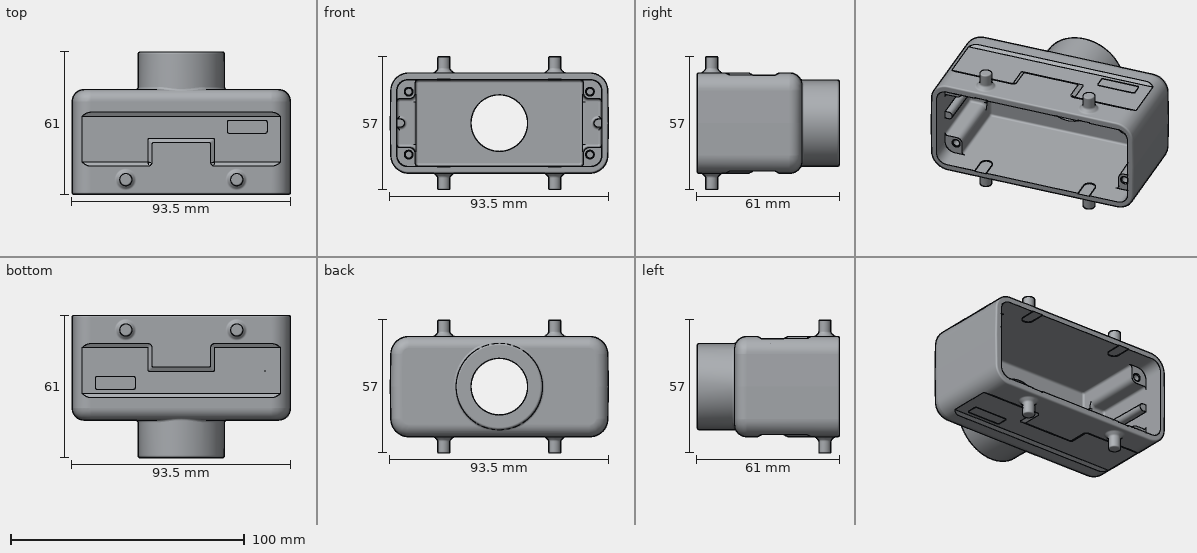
import cadquery as cq
import math

LENGTH = 93.5
HEIGHT = 43.0
DEPTH = 44.9
END_DRAFT = 0.4
CORNER_R = 7.8
BACK_R = 5.1
MOUTH_R = 0.75

NECK_R = 18.5
NECK_LENGTH = 16.1
NECK_RIM_R = 0.9
NECK_FOOT_R = 1.0
CABLE_HOLE_R = 12.1

END_WALL = 2.8
SIDE_WALL = 2.9
MOUTH_CAVITY_LENGTH = LENGTH - 2 * END_WALL
MOUTH_CAVITY_HEIGHT = HEIGHT - 2 * SIDE_WALL
MOUTH_CAVITY_R = 4.7
BOSS_Y = 9.6
SHELF_Y = 37.4
FLOOR_Y = 41.6
CAVITY_DRAFT = 0.7
MIDDLE_LENGTH = 72.0
END_POCKET_HEIGHT = 20.9
CAVITY_CORNER_R = 1.1
BOSS_CORNER_R = 2.6
SHELF_R = 1.0
SHELF_LIP_R = 0.9
FLOOR_R = 0.9

RIB_R = 1.7
RIB_X = 42.3

SCREW_X = 38.8
SCREW_Z = 13.5
SCREW_R = 1.5
SCREW_CHAMFER = 0.4
SCREW_DEPTH = 11.2

PIN_X = 23.75
PIN_Y = 6.3
PIN_R = 2.6
PIN_TIP_Z = 28.5
PIN_TIP_R = 0.6
PIN_FLARE_HEIGHT = 2.1
PIN_BLEND_R = 1.2
PIN_EMBED = 0.9
PIN_SLOT_DEPTH = 0.3
PIN_SLOT_LENGTH = 9.3

RECESS_DEPTH = 0.9
RECESS_SLOPE = 1.8
RECESS_FRONT_Y = 13.8
RECESS_BACK_Y = 33.4
TAB_HALF_WIDTH = 14.3
TAB_Y = 23.9
TAB_CORNER_R = 1.6

PLATE_LENGTH = 17.1
PLATE_HEIGHT = 5.5
PLATE_R = 0.75
PLATE_X = 28.2
PLATE_Y = 28.9
PLATE_DEPTH = 0.2

HALF_HEIGHT = HEIGHT / 2
OVERLAP = 0.5
HALF_RIGHT_ANGLE = math.radians(45)


def y_plane(x, y, z):
    """Plane facing +Y whose local up is Z; local right is -X."""
    return cq.Plane(origin=(x, y, z), xDir=(-1, 0, 0), normal=(0, 1, 0))


def y_block(length, height, y_start, y_end, draft):
    """Centred block along Y that narrows toward +Y by the draft angle."""
    return cq.Workplane(y_plane(0, y_start, 0)).rect(length, height).extrude(y_end - y_start, taper=draft)


def y_cylinder(x, z, y_start, y_end, radius):
    """Cylinder along Y centred on the given X and Z."""
    return cq.Workplane(y_plane(x, y_start, z)).circle(radius).extrude(y_end - y_start)


def on_both_sides(solid):
    """The solid together with its copy turned half a revolution about Y."""
    return solid.union(solid.rotate((0, 0, 0), (0, 1, 0), 180))


def make_shell():
    """Solid outer body with rounded corners, back rim and mouth rim."""
    tip = LENGTH / 2
    corner = tip - END_DRAFT
    outline = [
        (tip, 0), (corner, HALF_HEIGHT), (-corner, HALF_HEIGHT),
        (-tip, 0), (-corner, -HALF_HEIGHT), (corner, -HALF_HEIGHT),
    ]
    shell = cq.Workplane(y_plane(0, 0, 0)).polyline(outline).close().extrude(DEPTH)
    shell = shell.edges("|Y").filter(lambda edge: abs(edge.Center().z) > OVERLAP).fillet(CORNER_R)
    shell = shell.faces(">Y").edges().fillet(BACK_R)
    return shell.faces("<Y").edges().fillet(MOUTH_R)


def add_neck(shell):
    """Join the cable neck to the back wall and blend the seam between them."""
    neck = y_cylinder(0, 0, DEPTH - BACK_R, DEPTH + NECK_LENGTH, NECK_R)
    neck = neck.faces(">Y").edges().fillet(NECK_RIM_R)
    joined = shell.union(neck)
    foot_zone = cq.selectors.BoxSelector(
        (-NECK_R - OVERLAP, DEPTH - BACK_R, -HALF_HEIGHT),
        (NECK_R + OVERLAP, DEPTH + OVERLAP, HALF_HEIGHT),
    )
    foot = joined.edges(foot_zone).filter(
        lambda edge: edge.geomType() != "LINE" and edge.Length() < 2 * math.pi * NECK_R
    )
    return foot.fillet(NECK_FOOT_R)


def upright_edges(block):
    """Edges of a block made along Y that run from its front to its back."""
    return block.edges().filter(lambda edge: abs(edge.tangentAt(0).y) > math.sin(HALF_RIGHT_ANGLE))


def behind_mouth(size):
    """Clear size of the drafted cavity, in the plane of the boss faces, for a size at the mouth."""
    return size - 2 * BOSS_Y * math.tan(math.radians(CAVITY_DRAFT))


def round_cornered_space(length, height, y_end):
    """Drafted space from the plane of the boss faces to y_end, with rounded upright corners."""
    space = y_block(length, height, BOSS_Y, y_end, CAVITY_DRAFT)
    return upright_edges(space).fillet(CAVITY_CORNER_R)


def make_rib(side):
    """Round-nosed rib on one end wall, thickening toward its foot."""
    rib_length = SHELF_Y - BOSS_Y
    nose = cq.Workplane(y_plane(side * RIB_X, BOSS_Y, 0)).circle(RIB_R)
    nose = nose.extrude(rib_length, taper=-CAVITY_DRAFT)
    root = cq.Workplane(y_plane(side * (RIB_X + RIB_R), BOSS_Y, 0)).rect(2 * RIB_R, 2 * RIB_R)
    return nose.union(root.extrude(rib_length, taper=-CAVITY_DRAFT))


def make_end_pockets():
    """Space behind the boss faces down to the shelves, with the end ribs left standing."""
    middle = round_cornered_space(MIDDLE_LENGTH, behind_mouth(MOUTH_CAVITY_HEIGHT), SHELF_Y)
    ends = round_cornered_space(behind_mouth(MOUTH_CAVITY_LENGTH), END_POCKET_HEIGHT, SHELF_Y)
    pockets = middle.union(ends)
    boss_corners = upright_edges(pockets).filter(
        lambda edge: abs(edge.Center().x) < MIDDLE_LENGTH / 2 and abs(edge.Center().z) < END_POCKET_HEIGHT / 2
    )
    pockets = boss_corners.fillet(BOSS_CORNER_R)
    for side in (-1, 1):
        pockets = pockets.cut(make_rib(side))
    return pockets.faces(">Y").edges().fillet(SHELF_R)


def make_shelf_lip():
    """Cutter that rounds the +X shelf over into the wall of the deeper middle."""
    wall_lean = (SHELF_Y - BOSS_Y) * math.tan(math.radians(CAVITY_DRAFT))
    edge_x = MIDDLE_LENGTH / 2 - wall_lean
    lip_width = END_POCKET_HEIGHT - 2 * (wall_lean + SHELF_R)
    arc_offset = SHELF_LIP_R * (1 - math.sin(HALF_RIGHT_ANGLE))
    return (
        cq.Workplane("XY")
        .workplane(offset=-lip_width / 2)
        .moveTo(edge_x + SHELF_LIP_R, SHELF_Y)
        .threePointArc((edge_x + arc_offset, SHELF_Y + arc_offset), (edge_x, SHELF_Y + SHELF_LIP_R))
        .lineTo(edge_x - OVERLAP, SHELF_Y + SHELF_LIP_R)
        .lineTo(edge_x - OVERLAP, SHELF_Y - OVERLAP)
        .lineTo(edge_x + SHELF_LIP_R, SHELF_Y - OVERLAP)
        .close()
        .extrude(lip_width)
    )


def make_cavity():
    """Complete inner space: open mouth, deep middle and the two shelved ends."""
    mouth = y_block(MOUTH_CAVITY_LENGTH, MOUTH_CAVITY_HEIGHT, 0, BOSS_Y, CAVITY_DRAFT)
    mouth = upright_edges(mouth).fillet(MOUTH_CAVITY_R)
    middle = round_cornered_space(MIDDLE_LENGTH, behind_mouth(MOUTH_CAVITY_HEIGHT), FLOOR_Y)
    middle = middle.faces(">Y").edges().fillet(FLOOR_R)
    return make_end_pockets().union(middle).union(on_both_sides(make_shelf_lip())).union(mouth)


def make_screw_hole(x, z):
    """Blind screw hole in a boss face with a chamfered rim."""
    hole = y_cylinder(x, z, BOSS_Y, BOSS_Y + SCREW_DEPTH, SCREW_R)
    mouth = cq.Workplane(y_plane(x, BOSS_Y, z)).circle(SCREW_R + SCREW_CHAMFER)
    return hole.union(mouth.extrude(SCREW_CHAMFER, taper=math.degrees(HALF_RIGHT_ANGLE)))


def make_pin(x):
    """Upright pin on the +Z side: a 45 degree flare blended into the wall and the shank."""
    bend = PIN_BLEND_R * math.sin(HALF_RIGHT_ANGLE)
    sag = PIN_BLEND_R - bend
    half_bend = PIN_BLEND_R * math.sin(HALF_RIGHT_ANGLE / 2)
    half_sag = PIN_BLEND_R * (1 - math.cos(HALF_RIGHT_ANGLE / 2))
    shank_z = HALF_HEIGHT + PIN_FLARE_HEIGHT
    cone_top = (PIN_R + sag, shank_z - bend)
    cone_drop = cone_top[1] - HALF_HEIGHT - sag
    cone_foot = (cone_top[0] + cone_drop, HALF_HEIGHT + sag)
    foot_r = cone_foot[0] + bend
    profile = (
        cq.Workplane("XZ")
        .moveTo(0, HALF_HEIGHT - PIN_EMBED)
        .lineTo(foot_r, HALF_HEIGHT - PIN_EMBED)
        .lineTo(foot_r, HALF_HEIGHT)
        .threePointArc((foot_r - half_bend, HALF_HEIGHT + half_sag), cone_foot)
        .lineTo(*cone_top)
        .threePointArc((PIN_R + half_sag, shank_z - half_bend), (PIN_R, shank_z))
        .lineTo(PIN_R, PIN_TIP_Z)
        .lineTo(0, PIN_TIP_Z)
        .close()
    )
    pin = profile.revolve(360, (0, 0, 0), (0, 1, 0))
    pin = pin.faces(">Z").edges().fillet(PIN_TIP_R)
    return pin.translate((x, PIN_Y, 0))


def make_pin_slot(x):
    """Shallow round-ended slot in the cavity wall behind a pin, open at the mouth."""
    run_length = PIN_SLOT_LENGTH - PIN_R
    ceiling = MOUTH_CAVITY_HEIGHT / 2
    slot = cq.Workplane("XY").workplane(offset=ceiling - OVERLAP).center(x, run_length)
    rounded_end = slot.circle(PIN_R).extrude(PIN_SLOT_DEPTH + OVERLAP)
    run = slot.center(0, -run_length / 2).rect(2 * PIN_R, run_length).extrude(PIN_SLOT_DEPTH + OVERLAP)
    return rounded_end.union(run)


def make_recess():
    """Cutter for the +Z side: sloped walls around a floor that steps back over a tab."""
    slope = math.degrees(math.atan2(RECESS_SLOPE, RECESS_DEPTH))
    floor = [
        (-LENGTH, RECESS_BACK_Y), (-LENGTH, RECESS_FRONT_Y), (-TAB_HALF_WIDTH, RECESS_FRONT_Y),
        (-TAB_HALF_WIDTH, TAB_Y), (TAB_HALF_WIDTH, TAB_Y), (TAB_HALF_WIDTH, RECESS_FRONT_Y),
        (LENGTH, RECESS_FRONT_Y), (LENGTH, RECESS_BACK_Y),
    ]
    cutter = (
        cq.Workplane("XY")
        .workplane(offset=HALF_HEIGHT - RECESS_DEPTH)
        .polyline(floor)
        .close()
        .extrude(RECESS_DEPTH, taper=-slope)
    )
    tab_corners = cutter.edges().filter(
        lambda edge: abs(edge.Center().x) < TAB_HALF_WIDTH + RECESS_SLOPE
        and edge.BoundingBox().zlen > RECESS_DEPTH / 2
    )
    cutter = tab_corners.fillet(TAB_CORNER_R)
    plate = (
        cq.Workplane("XY")
        .workplane(offset=HALF_HEIGHT - RECESS_DEPTH - PLATE_DEPTH)
        .center(PLATE_X, PLATE_Y)
        .rect(PLATE_LENGTH, PLATE_HEIGHT)
        .extrude(PLATE_DEPTH + OVERLAP)
        .edges("|Z")
        .fillet(PLATE_R)
    )
    return cutter.union(plate)


result = add_neck(make_shell())
result = result.cut(on_both_sides(make_recess()))

for pin_x in (-PIN_X, PIN_X):
    result = result.union(on_both_sides(make_pin(pin_x)))

result = result.cut(make_cavity())
result = result.cut(y_cylinder(0, 0, 0, DEPTH + NECK_LENGTH, CABLE_HOLE_R))

for pin_x in (-PIN_X, PIN_X):
    result = result.cut(on_both_sides(make_pin_slot(pin_x)))

for screw_x in (-SCREW_X, SCREW_X):
    for screw_z in (-SCREW_Z, SCREW_Z):
        result = result.cut(make_screw_hole(screw_x, screw_z))